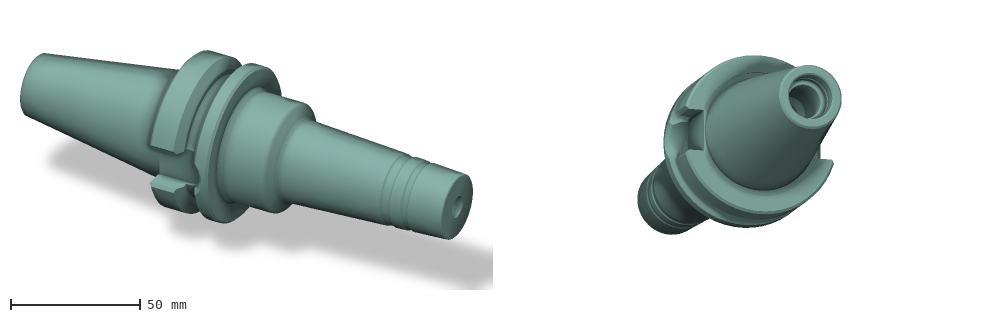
import cadquery as cq
import math

total_length = 185.4
taper_length = 65.5
nose_end = total_length - taper_length

margin = 0.2

gauge_radius = 22.2
shank_end_radius = gauge_radius - taper_length * (7 / 24) / 2
shank_chamfer = 0.7

flange_radius = 31.5
flange_start = 1.0
flange_end = 26.9
flange_rim_chamfer = 1.0
relief_radius = 24.5
relief_depth = 0.5

groove_center = 16.3
groove_floor_radius = 25.2
groove_floor_width = 4.8
groove_mouth_width = 9.8
groove_wall_radius = 27.3

slot_width = 16.1
slot_floor_distance = 22.6
slot_tip = 23.0
slot_edge_chamfer = 1.5

collar_radius = 22.2
collar_root_length = 2.2
collar_root_step = 1.1
collar_end = 46.5
shoulder_end = 49.9
nose_base_radius = 16.7
nose_tip_radius = 13.2
shoulder_fillet = 2.0
nose_tip_chamfer = 0.4

nose_rings = [(93.5, 97.9), (102.3, 105.5)]
ring_depth = 0.46
ring_wall_width = 0.5

counterbore_radius = 17.6 / 2
counterbore_depth = 6.0
entry_chamfer = 0.5
pilot_radius = 17.0 / 2
pilot_depth = 9.0
thread_mouth_radius = 13.9 / 2
thread_bore_radius = 13.3 / 2
thread_bore_depth = 29.7
coolant_bore_radius = 8.9 / 2


def revolve_about_x(points):
    """Revolve a closed (x, radius) outline about the X axis."""
    return cq.Workplane("XY").polyline(points).close().revolve(360, (0, 0, 0), (1, 0, 0))


def cylinder(start, length, radius):
    """A cylinder along X from the given start."""
    return cq.Workplane("YZ", origin=(start, 0, 0)).circle(radius).extrude(length)


def make_shank():
    return revolve_about_x([
        (-taper_length, 0),
        (-taper_length, shank_end_radius - shank_chamfer),
        (shank_chamfer - taper_length, shank_end_radius),
        (0, gauge_radius),
        (flange_start + relief_depth, gauge_radius),
        (flange_start + relief_depth, 0),
    ])


def make_flange():
    flange = cylinder(flange_start, flange_end - flange_start, flange_radius)
    slot_arc_center = slot_tip - slot_width / 2
    slot_depth = flange_radius - slot_floor_distance
    for side in (-1, 1):
        floor = cq.Workplane("XZ", origin=(0, side * slot_floor_distance, 0))
        slot = (
            floor.moveTo(0, -slot_width / 2)
            .lineTo(slot_arc_center, -slot_width / 2)
            .threePointArc((slot_tip, 0), (slot_arc_center, slot_width / 2))
            .lineTo(0, slot_width / 2)
            .close()
            .extrude(-side * slot_depth)
        )
        flange = flange.cut(slot)

    edge_reach = slot_width / 2 + slot_edge_chamfer
    mouth_box = cq.selectors.BoxSelector(
        (flange_start + margin, -flange_radius - margin, -edge_reach),
        (flange_end - margin, flange_radius + margin, edge_reach),
    )
    outer_edges = [
        edge for edge in flange.edges(mouth_box).vals()
        if all(
            math.hypot(point.y, point.z) > flange_radius - margin
            for point in (edge.positionAt(0), edge.positionAt(0.5), edge.positionAt(1))
        )
    ]
    flange = flange.newObject(outer_edges).chamfer(slot_edge_chamfer)

    groove = revolve_about_x([
        (groove_center - groove_mouth_width / 2, flange_radius),
        (groove_center - groove_floor_width / 2, groove_wall_radius),
        (groove_center - groove_floor_width / 2, groove_floor_radius),
        (groove_center + groove_floor_width / 2, groove_floor_radius),
        (groove_center + groove_floor_width / 2, groove_wall_radius),
        (groove_center + groove_mouth_width / 2, flange_radius),
    ])
    relief = cylinder(flange_start, relief_depth, relief_radius)
    rim_envelope = cylinder(flange_start, flange_end - flange_start, flange_radius)
    rim_envelope = rim_envelope.edges("%CIRCLE").chamfer(flange_rim_chamfer)
    return flange.intersect(rim_envelope).cut(groove).cut(relief)


def make_nose():
    nose = revolve_about_x([
        (flange_start + relief_depth, 0),
        (flange_start + relief_depth, gauge_radius),
        (flange_end - collar_root_step, gauge_radius),
        (flange_end, collar_radius + collar_root_step),
        (flange_end + collar_root_length, collar_radius),
        (collar_end, collar_radius),
        (shoulder_end, nose_base_radius),
        (nose_end, nose_tip_radius),
        (nose_end, 0),
    ])
    shoulder = cq.selectors.BoxSelector(
        (collar_end - margin, -flange_radius, -flange_radius),
        (shoulder_end + margin, flange_radius, flange_radius),
        boundingbox=True,
    )
    nose = nose.edges(shoulder).edges("%CIRCLE").fillet(shoulder_fillet)
    nose = nose.faces(">X").edges().chamfer(nose_tip_chamfer)
    slope = (nose_base_radius - nose_tip_radius) / (nose_end - shoulder_end)
    for start, end in nose_rings:
        start_radius = nose_tip_radius + slope * (nose_end - start) - ring_depth
        end_radius = nose_tip_radius + slope * (nose_end - end) - ring_depth
        nose = nose.cut(revolve_about_x([
            (start + ring_wall_width, start_radius),
            (start, start_radius + ring_depth),
            (start, collar_radius),
            (end, collar_radius),
            (end, end_radius + ring_depth),
            (end - ring_wall_width, end_radius),
        ]))
    return nose


def make_bore():
    counterbore_step = counterbore_radius - pilot_radius
    thread_chamfer = thread_mouth_radius - thread_bore_radius
    cone_length = thread_bore_radius - coolant_bore_radius
    outline = [
        (0, 0),
        (0, counterbore_radius + entry_chamfer),
        (entry_chamfer, counterbore_radius),
        (counterbore_depth, counterbore_radius),
        (counterbore_depth + counterbore_step, pilot_radius),
        (pilot_depth, pilot_radius),
        (pilot_depth, thread_mouth_radius),
        (pilot_depth + thread_chamfer, thread_bore_radius),
        (thread_bore_depth, thread_bore_radius),
        (thread_bore_depth + cone_length, coolant_bore_radius),
        (total_length, coolant_bore_radius),
        (total_length, 0),
    ]
    return revolve_about_x(outline).translate((-taper_length, 0, 0))


result = make_shank().union(make_flange()).union(make_nose()).cut(make_bore())